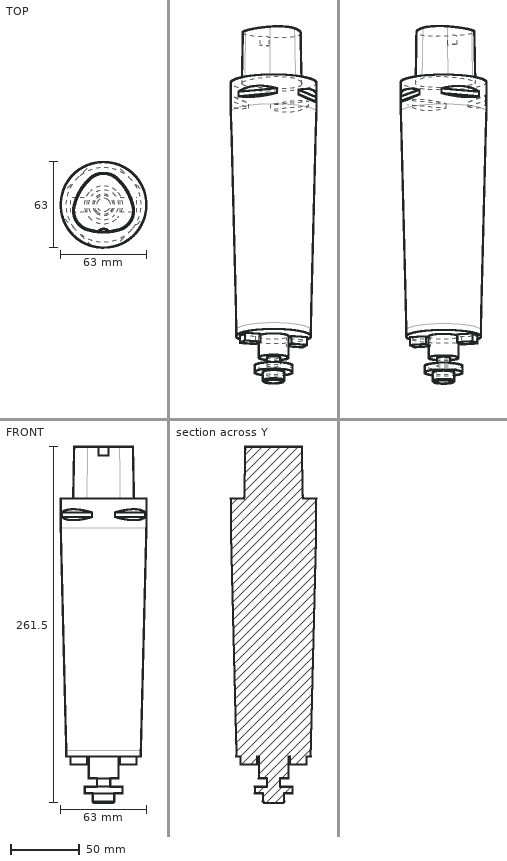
import cadquery as cq
import math

TOTAL_HEIGHT = 261.5
FLANGE_TOP = 223.5
FLANGE_BOTTOM = 201.5
TAPER_BOTTOM = 38.7
BODY_BOTTOM = 34.0
KEY_BOTTOM = 28.2
SPIGOT_BOTTOM = 18.0
WASHER_TOP = 12.0
WASHER_BOTTOM = 7.0

FLANGE_DIAMETER = 63.0
NOSE_DIAMETER = 55.0
SPIGOT_DIAMETER = 22.0
NECK_DIAMETER = 10.0
WASHER_DIAMETER = 28.0
SCREW_HEAD_DIAMETER = 16.0
SCREW_CHAMFER = 1.0

LOBE_REACH = 23.5
FLANK_REACH = 20.5
LOBE_CENTER_OFFSET = 8.5
SHANK_DRAFT = 1.1
LOBE_COUNT = 3

SLOT_WIDTH = 7.3
SLOT_HEIGHT = 6.5
SLOT_RADIUS = 4.2

GROOVE_COUNT = 4
GROOVE_START_ANGLE = 45.0
GROOVE_CENTER = FLANGE_TOP - 12.0
GROOVE_FLOOR_DISTANCE = 27.5
GROOVE_FLOOR_HEIGHT = 3.5
GROOVE_WALL_ANGLE = 30.0
GROOVE_CUTTER_OVERHANG = 2.5

KEY_INNER = 12.0
KEY_OUTER = 24.3
KEY_WIDTH = 10.5


def polar(radius, degrees):
    angle = math.radians(degrees)
    return (radius * math.cos(angle), radius * math.sin(angle))


def make_turned_body():
    """Revolve the flange, tapered body, spigot and clamping screw."""
    profile = [
        (0, 0),
        (SCREW_HEAD_DIAMETER / 2 - SCREW_CHAMFER, 0),
        (SCREW_HEAD_DIAMETER / 2, SCREW_CHAMFER),
        (SCREW_HEAD_DIAMETER / 2, WASHER_BOTTOM),
        (WASHER_DIAMETER / 2, WASHER_BOTTOM),
        (WASHER_DIAMETER / 2, WASHER_TOP),
        (NECK_DIAMETER / 2, WASHER_TOP),
        (NECK_DIAMETER / 2, SPIGOT_BOTTOM),
        (SPIGOT_DIAMETER / 2, SPIGOT_BOTTOM),
        (SPIGOT_DIAMETER / 2, BODY_BOTTOM),
        (NOSE_DIAMETER / 2, BODY_BOTTOM),
        (NOSE_DIAMETER / 2, TAPER_BOTTOM),
        (FLANGE_DIAMETER / 2, FLANGE_BOTTOM),
        (FLANGE_DIAMETER / 2, FLANGE_TOP),
        (0, FLANGE_TOP),
    ]
    return cq.Workplane("XZ").polyline(profile).close().revolve(360, (0, 0), (0, 1))


def make_shank():
    """Tapered shank of three lobe arcs joined by three tangent flank arcs, one lobe toward +Y."""
    lobe_radius = LOBE_REACH - LOBE_CENTER_OFFSET
    pitch = 360 / LOBE_COUNT
    along, across = polar(LOBE_CENTER_OFFSET, pitch / 2)
    gap = FLANK_REACH - lobe_radius
    flank_offset = (across**2 + along**2 - gap**2) / (2 * (gap - along))
    flank_radius = FLANK_REACH + flank_offset
    stretch = flank_radius / (flank_radius - lobe_radius)
    joint_side = across * stretch
    joint_out = (along + flank_offset) * stretch - flank_offset
    joint_reach = math.hypot(joint_side, joint_out)
    joint_angle = math.degrees(math.atan2(joint_side, joint_out))

    outline = cq.Workplane("XY", origin=(0, 0, FLANGE_TOP)).moveTo(*polar(joint_reach, -90 - joint_angle))
    for index in range(LOBE_COUNT):
        flank_angle = -90 + index * pitch
        next_flank_angle = flank_angle + pitch
        outline = outline.threePointArc(
            polar(FLANK_REACH, flank_angle), polar(joint_reach, flank_angle + joint_angle)
        )
        outline = outline.threePointArc(
            polar(LOBE_REACH, flank_angle + pitch / 2), polar(joint_reach, next_flank_angle - joint_angle)
        )
    shank_height = TOTAL_HEIGHT - FLANGE_TOP
    shank = outline.close().extrude(shank_height, taper=SHANK_DRAFT)

    top_flank_reach = FLANK_REACH - shank_height * math.tan(math.radians(SHANK_DRAFT))
    cutter_standoff = math.sqrt(SLOT_RADIUS**2 - (SLOT_WIDTH / 2) ** 2)
    slot = (
        cq.Workplane("XY", origin=(0, -top_flank_reach - cutter_standoff, TOTAL_HEIGHT - SLOT_HEIGHT))
        .circle(SLOT_RADIUS)
        .extrude(SLOT_HEIGHT)
    )
    return shank.cut(slot)


def make_groove():
    """Trapezoidal groove cutter on the +X side, running parallel to Y."""
    mouth_distance = FLANGE_DIAMETER / 2 + GROOVE_CUTTER_OVERHANG
    floor_half = GROOVE_FLOOR_HEIGHT / 2
    widening = (mouth_distance - GROOVE_FLOOR_DISTANCE) * math.tan(math.radians(GROOVE_WALL_ANGLE))
    mouth_half = floor_half + widening
    section = [
        (GROOVE_FLOOR_DISTANCE, GROOVE_CENTER - floor_half),
        (mouth_distance, GROOVE_CENTER - mouth_half),
        (mouth_distance, GROOVE_CENTER + mouth_half),
        (GROOVE_FLOOR_DISTANCE, GROOVE_CENTER + floor_half),
    ]
    return cq.Workplane("XZ").polyline(section).close().extrude(FLANGE_DIAMETER / 2, both=True)


def make_keys():
    """Two drive keys, one on each side of the spigot."""
    key_center = (KEY_INNER + KEY_OUTER) / 2
    return (
        cq.Workplane("XY", origin=(0, 0, KEY_BOTTOM))
        .pushPoints([(-key_center, 0), (key_center, 0)])
        .rect(KEY_OUTER - KEY_INNER, KEY_WIDTH)
        .extrude(TAPER_BOTTOM - KEY_BOTTOM)
    )


result = make_turned_body().union(make_shank()).union(make_keys())
groove = make_groove()
for index in range(GROOVE_COUNT):
    groove_angle = GROOVE_START_ANGLE + index * 360 / GROOVE_COUNT
    result = result.cut(groove.rotate((0, 0, 0), (0, 0, 1), groove_angle))